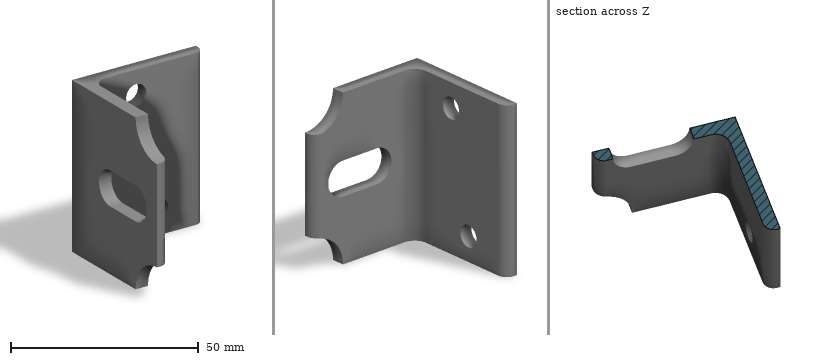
import cadquery as cq

LEG_LENGTH = 40.0
THICKNESS = 4.0
HEIGHT = 50.0
ROOT_RADIUS = 4.0
TOE_RADIUS = 3.0

CORNER_CUT_RADIUS = 10.0

SLOT_WIDTH = 10.5
SLOT_CENTER_SPACING = 12.0
SLOT_CENTER_X = 24.0

HOLE_DIAMETER = 6.5
HOLE_EDGE_DISTANCE = 7.5
HOLE_CENTERS = [
    (25.0, HOLE_EDGE_DISTANCE),
    (18.0, HEIGHT - HOLE_EDGE_DISTANCE),
]


def make_angle():
    """L section with a rounded root and rounded inner toes."""
    toe_start = LEG_LENGTH - TOE_RADIUS
    toe_flat = THICKNESS - TOE_RADIUS
    root_end = THICKNESS + ROOT_RADIUS
    return (
        cq.Workplane("XY")
        .lineTo(LEG_LENGTH, 0)
        .lineTo(LEG_LENGTH, toe_flat)
        .radiusArc((toe_start, THICKNESS), -TOE_RADIUS)
        .lineTo(root_end, THICKNESS)
        .radiusArc((THICKNESS, root_end), ROOT_RADIUS)
        .lineTo(THICKNESS, toe_start)
        .radiusArc((toe_flat, LEG_LENGTH), -TOE_RADIUS)
        .lineTo(0, LEG_LENGTH)
        .close()
        .extrude(HEIGHT)
    )


def make_corner_cuts():
    """Cylinders along Y centred on both outer corners of the X leg."""
    return (
        cq.Workplane("XZ")
        .pushPoints([(LEG_LENGTH, 0), (LEG_LENGTH, HEIGHT)])
        .circle(CORNER_CUT_RADIUS)
        .extrude(-THICKNESS)
    )


def make_slot():
    """Round-ended slot through the X leg."""
    return (
        cq.Workplane("XZ")
        .center(SLOT_CENTER_X, HEIGHT / 2)
        .slot2D(SLOT_CENTER_SPACING + SLOT_WIDTH, SLOT_WIDTH)
        .extrude(-THICKNESS)
    )


def make_holes():
    """Cylinders along X through the Y leg."""
    return (
        cq.Workplane("YZ")
        .pushPoints(HOLE_CENTERS)
        .circle(HOLE_DIAMETER / 2)
        .extrude(THICKNESS)
    )


result = make_angle().cut(make_corner_cuts()).cut(make_slot()).cut(make_holes())